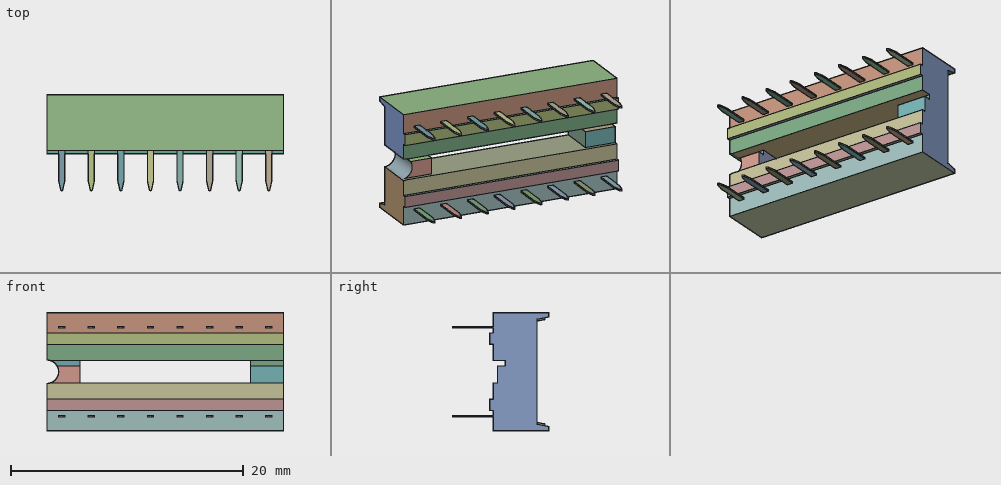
import cadquery as cq


length = 20.32
height = 10.15
body_depth = 3.78
half_length = length / 2
half_height = height / 2

lip_reach = 1.0
lip_tip_thickness = 0.39
lip_root_thickness = 0.57
back_y = body_depth + lip_reach

pad_setback = 0.3
pad_thickness = 0.16
pad_end_gap = 1.0

ridge_height = 0.3
ridge_width = 1.0
ridge_offset = 2.85

channel_width = 1.9
bridge_length = 2.85
bridge_recess = 0.37
step_recess = 1.04
step_z = 0.5
window_length = length - 2 * bridge_length

notch_radius = 1.0

pins_per_row = 8
pin_pitch = 2.55
row_spacing = 3 * pin_pitch
pin_width = 0.55
pin_thickness = 0.15
pin_length = 3.47
pin_shoulder = 2.62
pin_tip_width = 0.2
pin_tip_rounding = 0.08
pin_embed = 0.2


def box(x_size, y_min, y_max, z_min, z_max):
    """Box centred on X = 0, spanning the given Y and Z ranges."""
    return cq.Workplane("XY").box(
        x_size, y_max - y_min, z_max - z_min, centered=(True, False, False)
    ).translate((0, y_min, z_min))


def with_mirror(solid):
    """The solid together with its mirror image below Z = 0."""
    return solid.union(solid.mirror("XY"))


def extrude_along_length(points, x_size):
    """Extrude a (Y, Z) outline along X, centred on X = 0."""
    return cq.Workplane("YZ").polyline(points).close().extrude(x_size / 2, both=True)


def make_lip():
    outline = [
        (body_depth, half_height),
        (back_y, half_height),
        (back_y, half_height - lip_tip_thickness),
        (body_depth, half_height - lip_root_thickness),
    ]
    return extrude_along_length(outline, length)


def make_lip_pad():
    slope = (lip_root_thickness - lip_tip_thickness) / lip_reach
    pad_back_y = back_y - pad_setback
    root_z = half_height - lip_root_thickness
    back_z = half_height - lip_tip_thickness - slope * pad_setback
    outline = [
        (body_depth, root_z),
        (pad_back_y, back_z),
        (pad_back_y, back_z - pad_thickness),
        (body_depth, root_z - pad_thickness),
    ]
    return extrude_along_length(outline, length - 2 * pad_end_gap)


def make_body():
    body = box(length, 0, body_depth, -half_height, half_height)
    ridge = box(
        length, -ridge_height, 0, ridge_offset - ridge_width / 2, ridge_offset + ridge_width / 2
    )
    for detail in (make_lip(), make_lip_pad(), ridge):
        body = body.union(with_mirror(detail))
    return body


def cut_channel(body):
    half_channel = channel_width / 2
    window = box(window_length, 0, body_depth, -half_channel, half_channel)
    recess = box(length, 0, bridge_recess, -half_channel, half_channel)
    step = box(length, 0, step_recess, step_z, half_channel)
    return body.cut(window).cut(recess).cut(step)


def cut_notch(body):
    notch = cq.Workplane("XZ").center(-half_length, 0).circle(notch_radius).extrude(-body_depth)
    return body.cut(notch)


def make_pin():
    """Flat pin with a tapered, rounded tip, rooted inside the body."""
    half_width = pin_width / 2
    half_tip = pin_tip_width / 2
    tip_y = -pin_length + pin_tip_rounding
    return (
        cq.Workplane("XY")
        .moveTo(-half_width, pin_embed)
        .lineTo(-half_width, -pin_shoulder)
        .lineTo(-half_tip, tip_y)
        .threePointArc((0, -pin_length), (half_tip, tip_y))
        .lineTo(half_width, -pin_shoulder)
        .lineTo(half_width, pin_embed)
        .close()
        .extrude(pin_thickness / 2, both=True)
    )


def add_pins(body):
    pin = make_pin()
    for index in range(pins_per_row):
        x = (index - (pins_per_row - 1) / 2) * pin_pitch
        for z in (-row_spacing / 2, row_spacing / 2):
            body = body.union(pin.translate((x, 0, z)))
    return body


result = add_pins(cut_notch(cut_channel(make_body())))